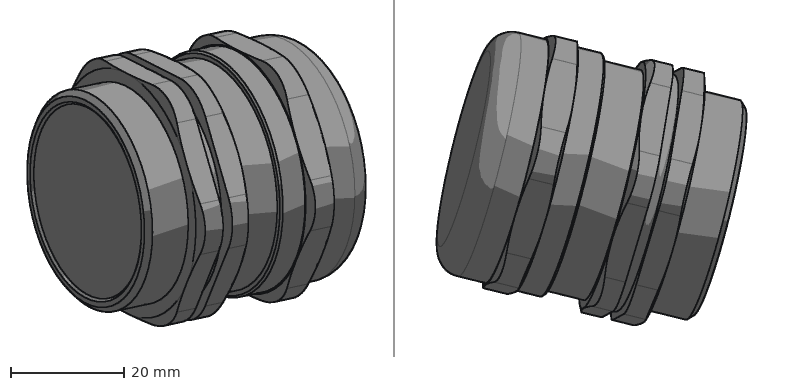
import cadquery as cq
import math

across_flats = 45.0
across_corners = 49.0
sharp_corner_radius = across_flats / 2 / math.cos(math.radians(30))
corner_round = (sharp_corner_radius - across_corners / 2) / (1 / math.cos(math.radians(30)) - 1)

thread_end = 8.6
lock_nut_end = 13.05
seal_end = 15.0
body_hex_end = 19.45
neck_end = 26.75
cap_hex_start = 31.8
cap_hex_end = 37.25
length = 46.7

thread_diameter = 40.1
thread_chamfer = 1.05
seal_diameter = 43.55
neck_diameter = 42.0
cap_diameter = 44.5
cap_chamfer = 0.4
dome_radius = 4.4

recess_rim_diameter = 36.05
recess_floor_diameter = 35.1
recess_depth = 0.5

lock_nut_chamfer = 0.7
body_hex_chamfer = 1.1
cap_hex_chamfer = 0.75


def front_plane(y):
    """Plane at height y along the axis, with its normal towards +Y."""
    return cq.Plane(origin=(0, y, 0), xDir=(1, 0, 0), normal=(0, 1, 0))


def disc(start, end, diameter):
    return cq.Workplane(front_plane(start)).circle(diameter / 2).extrude(end - start)


def hexagon(start, end, front_chamfer=0, back_chamfer=0):
    """Rounded hexagon whose corners are cut by cones at the chosen ends."""
    prism = (
        cq.Workplane(front_plane(start))
        .polygon(6, 2 * sharp_corner_radius)
        .extrude(end - start)
        .edges("|Y")
        .fillet(corner_round)
    )
    flat_radius = across_flats / 2
    corner_radius = across_corners / 2
    envelope = cq.Workplane("XY").moveTo(0, start)
    if front_chamfer:
        envelope = envelope.lineTo(flat_radius, start)
    envelope = envelope.lineTo(corner_radius, start + front_chamfer)
    envelope = envelope.lineTo(corner_radius, end - back_chamfer)
    if back_chamfer:
        envelope = envelope.lineTo(flat_radius, end)
    envelope = envelope.lineTo(0, end).close().revolve(360, (0, 0, 0), (0, 1, 0))
    return prism.intersect(envelope)


thread = disc(0, thread_end, thread_diameter).faces("<Y").edges().chamfer(thread_chamfer)
core = disc(thread_end, seal_end, thread_diameter)
neck = disc(seal_end, neck_end, neck_diameter)

seal_radius = seal_diameter / 2
seal_bulge = (seal_end - lock_nut_end) / 2
seal = (
    cq.Workplane("XY")
    .moveTo(0, lock_nut_end)
    .lineTo(seal_radius - seal_bulge, lock_nut_end)
    .threePointArc((seal_radius, lock_nut_end + seal_bulge), (seal_radius - seal_bulge, seal_end))
    .lineTo(0, seal_end)
    .close()
    .revolve(360, (0, 0, 0), (0, 1, 0))
)

cap = disc(neck_end, length, cap_diameter)
cap = cap.faces("<Y").edges().chamfer(cap_chamfer)
cap = cap.faces(">Y").edges().fillet(dome_radius)

lock_nut = hexagon(thread_end, lock_nut_end, front_chamfer=lock_nut_chamfer)
body_hex = hexagon(seal_end, body_hex_end, back_chamfer=body_hex_chamfer)
cap_hex = hexagon(cap_hex_start, cap_hex_end, cap_hex_chamfer, cap_hex_chamfer)

recess = (
    cq.Workplane(front_plane(0))
    .circle(recess_rim_diameter / 2)
    .workplane(offset=recess_depth)
    .circle(recess_floor_diameter / 2)
    .loft()
)

result = thread
for section in (core, lock_nut, seal, body_hex, neck, cap, cap_hex):
    result = result.union(section)
result = result.cut(recess)